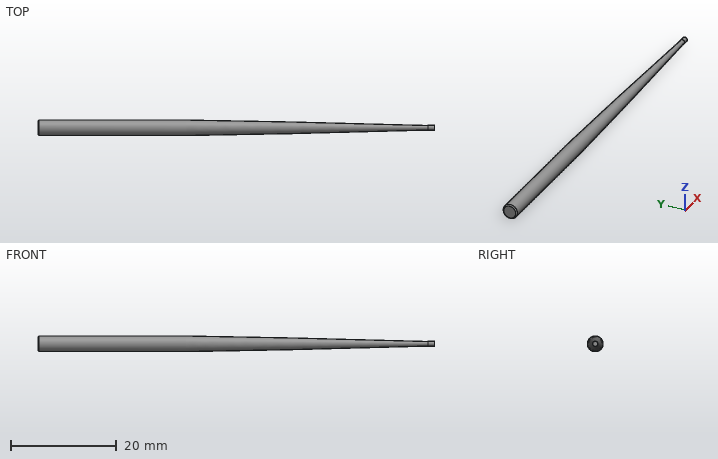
import cadquery as cq

overall_length = 75.0
shank_end = 28.0
rear_taper_end = 48.0
front_taper_end = 73.0
tip_start = 73.8

shank_diameter = 3.0
taper_joint_diameter = 2.26
neck_diameter = 0.95
tip_diameter = 1.0

shank_chamfer = 0.25
tip_corner_radius = 0.1


def revolve_about_x(profile):
    """Spin a closed half profile, drawn above the X axis, into a solid."""
    return profile.close().revolve(360, (0, 0, 0), (1, 0, 0))


def make_holder():
    """Chamfered shank, two successive tapers and a short straight neck."""
    shank_radius = shank_diameter / 2
    neck_radius = neck_diameter / 2
    profile = (
        cq.Workplane("XZ")
        .moveTo(0, 0)
        .lineTo(0, shank_radius - shank_chamfer)
        .lineTo(shank_chamfer, shank_radius)
        .lineTo(shank_end, shank_radius)
        .lineTo(rear_taper_end, taper_joint_diameter / 2)
        .lineTo(front_taper_end, neck_radius)
        .lineTo(tip_start, neck_radius)
        .lineTo(tip_start, 0)
    )
    return revolve_about_x(profile)


def make_cutting_tip():
    """Cylindrical cutting tip with a rounded front corner."""
    tip_radius = tip_diameter / 2
    profile = (
        cq.Workplane("XZ")
        .moveTo(tip_start, 0)
        .lineTo(tip_start, tip_radius)
        .lineTo(overall_length - tip_corner_radius, tip_radius)
        .radiusArc((overall_length, tip_radius - tip_corner_radius), tip_corner_radius)
        .lineTo(overall_length, 0)
    )
    return revolve_about_x(profile)


holder = make_holder()
cutting_tip = make_cutting_tip()

result = cq.Compound.makeCompound([holder.val(), cutting_tip.val()])